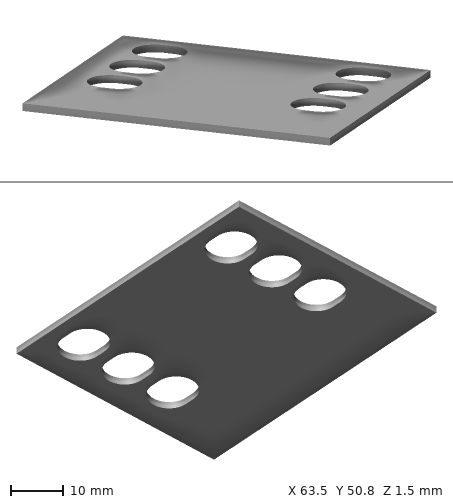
import cadquery as cq

length = 63.5
width = 50.8
thickness = 1.5

slot_length = 10.8
slot_width = 8.75
column_offset = 21.0
slot_pitch = 11.4
middle_row_y = 6.35

slot_centers = [
    (side * column_offset, middle_row_y + row * slot_pitch)
    for side in (-1, 1)
    for row in (-1, 0, 1)
]

plate = cq.Workplane("XY").box(length, width, thickness)

result = (
    plate.faces(">Z")
    .workplane(origin=(0, 0, 0))
    .pushPoints(slot_centers)
    .slot2D(slot_length, slot_width)
    .cutThruAll()
)